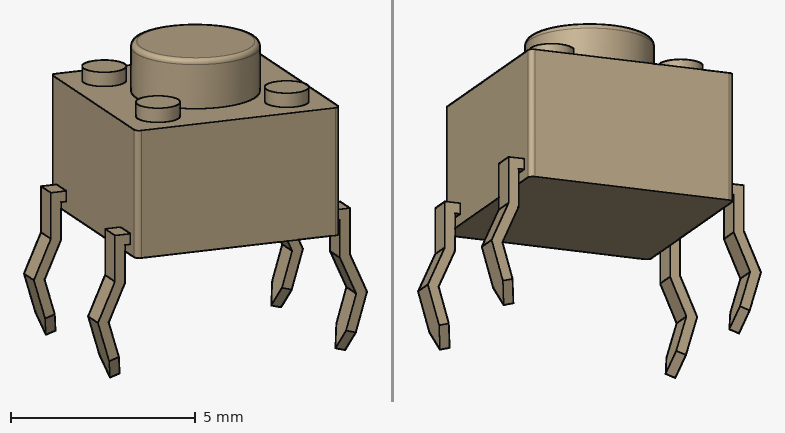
import cadquery as cq
import math


housing_side = 5.99
housing_height = 3.6
housing_corner_radius = 0.15

button_diameter = 3.5
button_top = 5.0
button_edge_radius = 0.15

stud_diameter = 1.2
stud_height = 0.4
stud_spacing = 3.78

lead_spacing = 4.5
lead_width = 0.7
lead_thickness = 0.3
lead_top = 0.6
lead_span = 6.9
knee_span = 7.9
bend_level = -0.7
knee_level = -1.81
tip_level = -3.5
point_length = 0.6


def make_housing():
    block = cq.Workplane("XY").box(
        housing_side, housing_side, housing_height, centered=(True, True, False)
    )
    return block.edges("|Z").fillet(housing_corner_radius)


def make_button():
    height = button_top - housing_height
    post = cq.Workplane("XY", origin=(0, 0, housing_height)).circle(button_diameter / 2).extrude(height)
    return post.faces(">Z").edges().fillet(button_edge_radius)


def make_studs():
    return (
        cq.Workplane("XY", origin=(0, 0, housing_height))
        .rarray(stud_spacing, stud_spacing, 2, 2)
        .circle(stud_diameter / 2)
        .extrude(stud_height)
    )


def inner_normal(start, end):
    """Unit normal on the right-hand side of the line from start to end."""
    length = math.dist(start, end)
    return ((end[1] - start[1]) / length, (start[0] - end[0]) / length)


def offset_path(path, distance):
    """Copy of an open path shifted to its right-hand side, with sharp mitred bends."""
    normals = [inner_normal(a, b) for a, b in zip(path, path[1:])]
    shifted = []
    for point, before, after in zip(path, normals[:1] + normals, normals + normals[-1:]):
        stretch = distance / (1 + before[0] * after[0] + before[1] * after[1])
        shifted.append((
            point[0] + stretch * (before[0] + after[0]),
            point[1] + stretch * (before[1] + after[1]),
        ))
    return shifted


def make_lead():
    """Lead on the +Y side, centred on X = 0."""
    knee = (knee_span / 2, knee_level)
    tip = (lead_span / 2, tip_level)
    outer = [
        (housing_side / 2, lead_top),
        (lead_span / 2, lead_top),
        (lead_span / 2, bend_level),
        knee,
        tip,
    ]
    inner = offset_path(outer, lead_thickness)
    strip = cq.Workplane("YZ").polyline(outer + inner[::-1]).close().extrude(lead_width / 2, both=True)

    normal_y, normal_z = inner_normal(knee, tip)
    lead_end = cq.Plane(origin=(0, tip[0], tip[1]), xDir=(1, 0, 0), normal=(0, normal_y, normal_z))
    for side in (-1, 1):
        edge = side * lead_width / 2
        wedge = (
            cq.Workplane(lead_end)
            .polyline([(0, 0), (edge, 0), (edge, point_length)])
            .close()
            .extrude(lead_thickness)
        )
        strip = strip.cut(wedge)
    return strip


def add_leads(body):
    lead = make_lead()
    for x in (-lead_spacing / 2, lead_spacing / 2):
        for turn in (0, 180):
            body = body.union(lead.translate((x, 0, 0)).rotate((0, 0, 0), (0, 0, 1), turn))
    return body


result = add_leads(make_housing().union(make_button()).union(make_studs()))